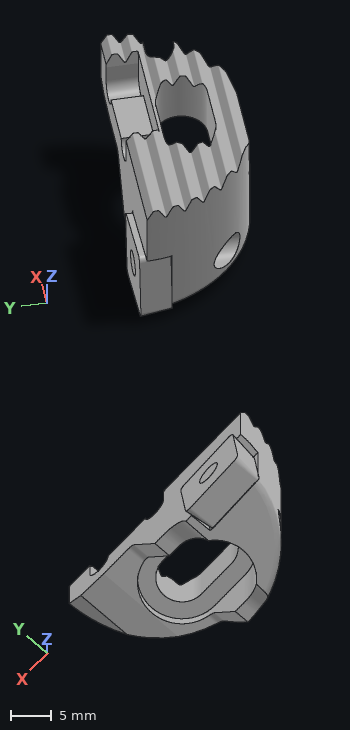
import cadquery as cq
import math


overall_length = 31.5
wall_radius = 15.55
back_y = -0.13
body_depth = 18.9
cut_margin = 3.15

tooth_row_length = 15.0
tooth_count = 6
tooth_pitch = tooth_row_length / tooth_count
tooth_depth = 1.45
flank_angle = math.radians(30)
tip_half_flat = 0.205
tip_radius = 0.22

shelf_z = -8.63
shelf_start_x = 4.13
shelf_end_x = 9.3
shelf_fillet = 1.32
nose_x = 13.45
nose_z = -8.15
nose_end_z = -6.95
heel_z = -15.62
relief_center_x = -1.45
relief_radius = 4.4

bottom_start_x = -14.45
bottom_start_z = -17.32
bottom_lead_angle = 6.1
bottom_clearance_angle = 6.4
bottom_fillet = 0.9

flat_y = -14.95
flat_bottom_z = -7.3
flat_runout_angle = math.radians(30)

slot_center_x = 0.98
slot_center_y = -8.0
slot_radius = 3.2
slot_straight = 5.45
head_recess_radius = 5.45
head_recess_z = -7.0

recess_center_x = 5.15
recess_top_width = 13.85
recess_width = 13.32
recess_taper_z = -1.9
recess_floor_z = -4.25
recess_front_y = -4.15
floor_groove_radius = 1.65

groove_radius = 1.75
groove_point = (13.17, -7.1, -1.58)
groove_direction = cq.Vector(0.41, -0.13, -0.9)
groove_length = 18.9

side_hole_radius = 1.35
side_hole_y = -2.27
side_hole_z = -4.0
side_hole_depth = 3.15

insert_side = 9.5
insert_corner = 0.8
insert_thickness = 4.0
insert_clearance = 7.0
insert_angle = 6.1
insert_half_extent = insert_corner + (insert_side / 2 - insert_corner) * (
    math.sin(math.radians(insert_angle)) + math.cos(math.radians(insert_angle))
)
insert_center_x = wall_radius - overall_length + insert_half_extent
insert_center_z = -13.65
insert_back_y = 0.72
insert_front_y = insert_back_y - insert_thickness

screw_x = -10.65
screw_z = -13.45
screw_radius = 1.6
screw_chamfer = 0.2
access_radius = 2.05
screw_end_y = -8.73


def obround(radius, straight, z_low, z_high):
    """Vertical obround prism around the clamping slot's centre."""
    return (
        cq.Workplane("XY", origin=(slot_center_x, slot_center_y, z_low))
        .slot2D(straight + 2 * radius, 2 * radius)
        .extrude(z_high - z_low)
    )


def cylinder_along_y(x, z, radius, y_low, y_high):
    """Cylinder parallel to Y between two Y positions."""
    return cq.Workplane("XZ", origin=(x, y_high, z)).circle(radius).extrude(y_high - y_low)


def bottom_cutter():
    """Block below the bottom face, which drops toward +X and rises toward the front."""
    size = 4 * wall_radius
    box = cq.Workplane("XY", origin=(0, 0, -size)).box(size, size, size, centered=(True, True, False))
    box = box.rotate((0, 0, 0), (1, 0, 0), -bottom_clearance_angle)
    box = box.rotate((0, 0, 0), (0, 1, 0), bottom_lead_angle)
    return box.translate((bottom_start_x, insert_front_y, bottom_start_z))


def blank():
    """Half-round block whose sloping bottom edge is rounded along the outer wall."""
    block = cq.Workplane("XY").circle(wall_radius).extrude(-1.5 * body_depth)
    block = block.cut(bottom_cutter())
    block = block.faces("<Z").edges().fillet(bottom_fillet)
    behind = cq.Workplane("XY", origin=(0, back_y, 0)).box(
        4 * wall_radius, 4 * wall_radius, 4 * body_depth, centered=(True, False, True)
    )
    return block.cut(behind)


def underside_cutter():
    """Everything below the silhouette from the +X nose to the concave relief."""
    outer_x = wall_radius + cut_margin
    below_z = -2 * body_depth
    relief_start_x = relief_center_x - relief_radius
    outline = (
        cq.Workplane("XZ", origin=(0, cut_margin, 0))
        .moveTo(0, heel_z)
        .lineTo(shelf_start_x, shelf_z)
        .lineTo(shelf_end_x, shelf_z)
        .lineTo(nose_x, nose_z)
        .lineTo(wall_radius, nose_end_z)
        .lineTo(outer_x, nose_end_z)
        .lineTo(outer_x, below_z)
        .lineTo(relief_start_x, below_z)
        .lineTo(relief_start_x, heel_z - relief_radius)
        .radiusArc((relief_center_x, heel_z), relief_radius)
        .close()
        .extrude(wall_radius + 2 * cut_margin)
    )
    shelf_corner = cq.NearestToPointSelector((shelf_start_x, 0, shelf_z))
    return outline.edges("|Y").edges(shelf_corner).fillet(shelf_fillet)


def tooth_groove(y):
    """V-groove along X with rounded crests on both sides and a rounded root."""
    slope = math.tan(flank_angle)
    cos_a = math.cos(flank_angle)
    sin_a = math.sin(flank_angle)
    crest_y = tooth_pitch / 2 - tip_half_flat
    flank_top_y = crest_y - tip_radius * cos_a
    flank_top_z = -tip_radius * (1 - sin_a)
    apex_z = flank_top_z - flank_top_y / slope
    root_radius = (-tooth_depth - apex_z) / (1 / sin_a - 1)
    flank_low_y = root_radius * cos_a
    flank_low_z = -tooth_depth + root_radius * (1 - sin_a)
    return (
        cq.Workplane("YZ", origin=(-2 * wall_radius, y, 0))
        .moveTo(-crest_y, cut_margin)
        .lineTo(-crest_y, 0)
        .radiusArc((-flank_top_y, flank_top_z), tip_radius)
        .lineTo(-flank_low_y, flank_low_z)
        .threePointArc((0, -tooth_depth), (flank_low_y, flank_low_z))
        .lineTo(flank_top_y, flank_top_z)
        .radiusArc((crest_y, 0), tip_radius)
        .lineTo(crest_y, cut_margin)
        .close()
        .extrude(4 * wall_radius)
    )


def front_flat_cutter():
    """Flat on the outer wall with a sloped run-out at its lower end."""
    runout = 2 * cut_margin
    return (
        cq.Workplane("YZ", origin=(-wall_radius, 0, 0))
        .moveTo(flat_y, cut_margin)
        .lineTo(flat_y, flat_bottom_z)
        .lineTo(flat_y - runout, flat_bottom_z - runout * math.tan(flat_runout_angle))
        .lineTo(flat_y - runout, cut_margin)
        .close()
        .extrude(2 * wall_radius)
    )


def back_recess_cutter():
    """Recess open to the back and the top, flared at the top, with a round groove in each floor corner."""
    length = back_y - recess_front_y + cut_margin
    plane_at_back = cq.Workplane("XZ", origin=(recess_center_x, back_y + cut_margin, 0))
    half_top = recess_top_width / 2
    half_width = recess_width / 2
    recess = (
        plane_at_back.moveTo(-half_top, cut_margin)
        .lineTo(-half_top, 0)
        .lineTo(-half_width, recess_taper_z)
        .lineTo(-half_width, recess_floor_z)
        .lineTo(half_width, recess_floor_z)
        .lineTo(half_width, recess_taper_z)
        .lineTo(half_top, 0)
        .lineTo(half_top, cut_margin)
        .close()
        .extrude(length)
    )
    for side in (-1, 1):
        groove_x = side * (half_width - floor_groove_radius)
        recess = recess.union(
            plane_at_back.center(groove_x, recess_floor_z).circle(floor_groove_radius).extrude(length)
        )
    return recess


def chip_groove_cutter():
    """Half-round channel along a steep line, opening toward +X between two tangent walls."""
    across = groove_direction.cross(cq.Vector(1, 0, 0))
    mouth_direction = across.cross(groove_direction)
    plane = cq.Plane(origin=groove_point, xDir=mouth_direction, normal=groove_direction)
    mouth_x = 2 * cut_margin
    return (
        cq.Workplane(plane)
        .workplane(offset=-groove_length / 2)
        .moveTo(mouth_x, groove_radius)
        .lineTo(0, groove_radius)
        .threePointArc((-groove_radius, 0), (0, -groove_radius))
        .lineTo(mouth_x, -groove_radius)
        .close()
        .extrude(groove_length)
    )


def side_hole_cutter():
    """Blind hole along X, drilled in from the +X end."""
    start_x = wall_radius - side_hole_depth
    return (
        cq.Workplane("YZ", origin=(start_x, side_hole_y, side_hole_z))
        .circle(side_hole_radius)
        .extrude(side_hole_depth + cut_margin)
    )


def place_on_insert(shape):
    """Turn a shape drawn about the Y axis and move it to the insert's centre."""
    turned = shape.rotate((0, 0, 0), (0, 1, 0), insert_angle)
    return turned.translate((insert_center_x, 0, insert_center_z))


def insert_pocket_cutter():
    """Straight-walled pocket that meets the tapered insert at the back face, open at -X and below."""
    half_side = insert_side / 2 - (insert_back_y - back_y) * math.tan(math.radians(insert_clearance))
    size = insert_side + cut_margin
    corner = half_side - size / 2
    pocket = cq.Workplane("XZ", origin=(0, back_y + cut_margin, 0)).center(corner, corner)
    pocket = pocket.rect(size, size).extrude(back_y + cut_margin - insert_front_y)
    return place_on_insert(pocket)


def make_holder():
    """Half-round tool holder with its serrated top, slot, pocket and screw holes."""
    holder = blank().cut(underside_cutter())
    for index in range(tooth_count):
        holder = holder.cut(tooth_groove(-tooth_pitch * index))
    holder = holder.cut(front_flat_cutter())
    holder = holder.cut(tooth_groove(-tooth_pitch * tooth_count))
    holder = holder.cut(obround(slot_radius, slot_straight, -2 * body_depth, cut_margin))
    holder = holder.cut(obround(head_recess_radius, slot_straight, -2 * body_depth, head_recess_z))
    holder = holder.cut(back_recess_cutter())
    holder = holder.cut(chip_groove_cutter())
    holder = holder.cut(side_hole_cutter())
    holder = holder.cut(insert_pocket_cutter())
    holder = holder.cut(cylinder_along_y(screw_x, screw_z, screw_radius, screw_end_y, cut_margin))
    return holder.cut(cylinder_along_y(screw_x, screw_z, access_radius, -2 * wall_radius, screw_end_y))


def make_insert():
    """Square insert with rounded corners, tapering toward its seat."""
    plate = (
        cq.Workplane("XZ", origin=(0, insert_back_y, 0))
        .sketch()
        .rect(insert_side, insert_side)
        .vertices()
        .fillet(insert_corner)
        .finalize()
        .extrude(insert_thickness, taper=insert_clearance)
    )
    return place_on_insert(plate).cut(
        cylinder_along_y(screw_x, screw_z, screw_radius, insert_front_y, insert_back_y)
    )


def make_screw():
    """Plain screw whose chamfered end is flush with the floor of its access hole."""
    screw = cylinder_along_y(screw_x, screw_z, screw_radius, screw_end_y, insert_back_y)
    return screw.faces("<Y").edges().chamfer(screw_chamfer)


holder = make_holder()
insert = make_insert()
screw = make_screw()

result = cq.Compound.makeCompound([holder.val(), insert.val(), screw.val()])